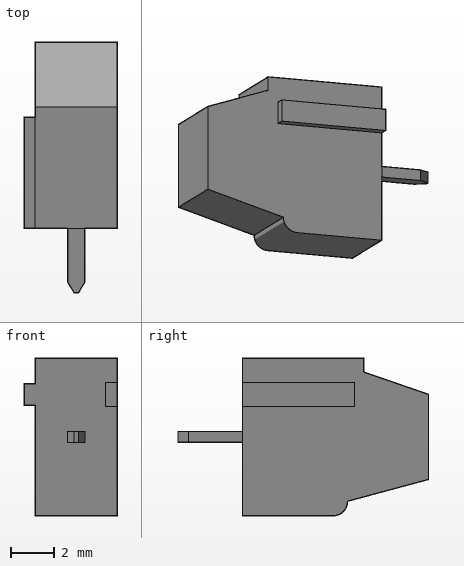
import cadquery as cq

total_length = 11.6
housing_width = 3.8
housing_height = 7.3
pin_length = 2.98
housing_length = total_length - pin_length

top_length = 5.63
top_step = 0.64
nose_top = 5.63
nose_bottom = 1.68
heel_radius = 0.67
heel_length = 4.87

rib_depth = 0.51
rib_height = 1.01
rib_length = 5.15
rib_middle = 5.61
groove_clearance = 0.05
groove_depth = rib_depth + groove_clearance
groove_height = rib_height + 2 * groove_clearance
groove_length = rib_length + groove_clearance

pin_width = 0.8
pin_thickness = 0.51
pin_middle = 3.65
tip_width = 0.21
tip_length = 0.5


def make_housing():
    """Side profile in the YZ plane, extruded across the width."""
    heel_end = heel_length - heel_radius
    return (
        cq.Workplane("YZ")
        .moveTo(0, 0)
        .lineTo(heel_end, 0)
        .radiusArc((heel_length, heel_radius), -heel_radius)
        .lineTo(housing_length, nose_bottom)
        .lineTo(housing_length, nose_top)
        .lineTo(top_length, housing_height - top_step)
        .lineTo(top_length, housing_height)
        .lineTo(0, housing_height)
        .close()
        .extrude(housing_width)
    )


def side_bar(start_x, depth, length, height):
    """Bar along Y, starting at the front face and centred on the rib height."""
    return (
        cq.Workplane("XY")
        .box(depth, length, height, centered=(False, False, True))
        .translate((start_x, 0, rib_middle))
    )


def make_pin():
    """Flat pin with its tip tapered in plan."""
    return (
        cq.Workplane("XY")
        .moveTo(-pin_width / 2, 0)
        .lineTo(-pin_width / 2, tip_length - pin_length)
        .lineTo(-tip_width / 2, -pin_length)
        .lineTo(tip_width / 2, -pin_length)
        .lineTo(pin_width / 2, tip_length - pin_length)
        .lineTo(pin_width / 2, 0)
        .close()
        .extrude(pin_thickness / 2, both=True)
        .translate((pin_x, 0, pin_middle))
    )


pin_x = housing_width / 2
rib = side_bar(-rib_depth, rib_depth, rib_length, rib_height)
groove = side_bar(housing_width - groove_depth, groove_depth, groove_length, groove_height)

result = make_housing().union(rib).cut(groove).union(make_pin())